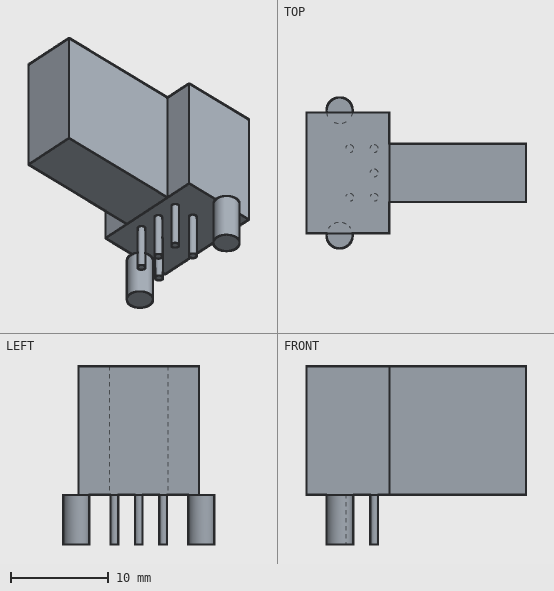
import cadquery as cq

total_length = 22.5
total_width = 15.5
total_height = 18.3

leg_length = 5.1
body_height = total_height - leg_length
housing_length = 8.5
housing_width = 12.4
arm_length = total_length - housing_length
arm_width = 6.0

peg_diameter = 2.7
peg_x = 3.4
peg_spacing = total_width - peg_diameter

pin_diameter = 0.8
pin_pitch = 2.5
rear_row_x = 6.93
front_row_x = rear_row_x - pin_pitch
pin_places = [(rear_row_x, row * pin_pitch) for row in (-1, 0, 1)]
pin_places += [(front_row_x, side * pin_pitch) for side in (-1, 1)]


def make_block(start_x, length, width):
    """Box standing on Z = 0, centred on Y and starting at start_x."""
    block = cq.Workplane("XY").box(length, width, body_height, centered=(False, True, False))
    return block.translate((start_x, 0, 0))


def make_leg(x, y, diameter):
    """Round leg hanging from the underside plane, Z = 0."""
    return cq.Workplane("XY").center(x, y).circle(diameter / 2).extrude(-leg_length)


def make_peg(side):
    return make_leg(peg_x, side * peg_spacing / 2, peg_diameter)


def make_pin(x, y):
    return make_leg(x, y, pin_diameter)


housing = make_block(0, housing_length, housing_width)
arm = make_block(housing_length, arm_length, arm_width)
pegs = [make_peg(side) for side in (-1, 1)]
pins = [make_pin(x, y) for x, y in pin_places]

result = cq.Compound.makeCompound([
    housing.val(),
    arm.val(),
    *[peg.val() for peg in pegs],
    *[pin.val() for pin in pins],
])